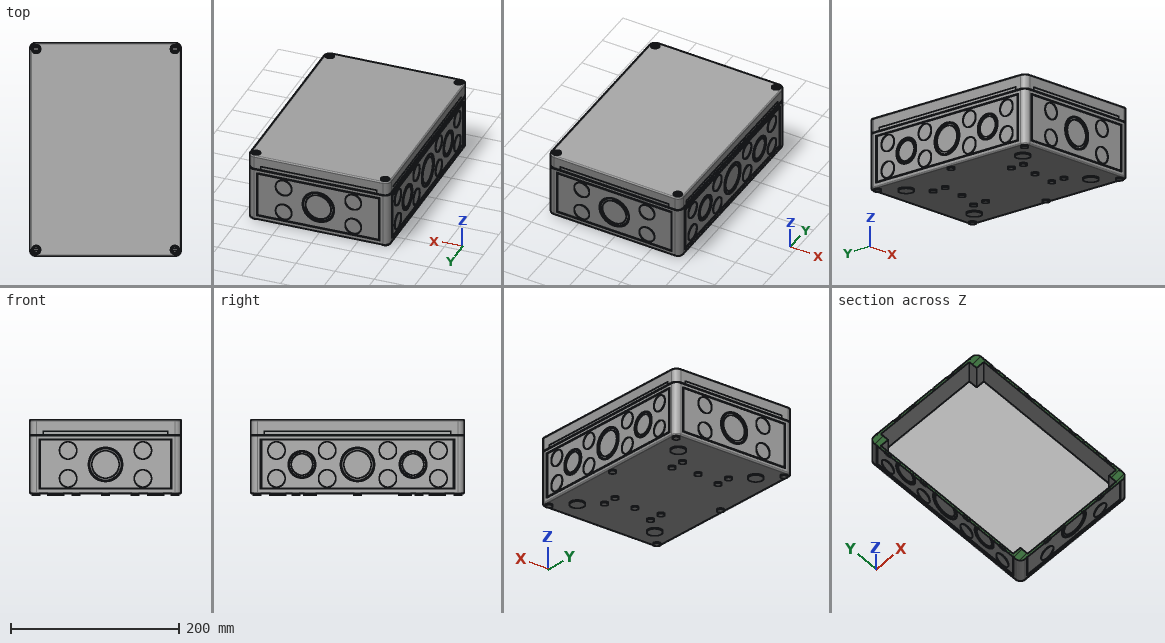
import cadquery as cq

WIDTH = 180.0
LENGTH = 254.0
HEIGHT = 89.7
CORNER_RADIUS = 7.5
FOOT_HEIGHT = 1.8
SEAM_Z = 71.6
BOTTOM_FILLET = 1.8
LID_FILLET = 1.5

WALL = 3.8
LID_TOP_THICKNESS = 6.4
CORNER_POST = 16.0
RIM_WALL = 0.97
RIM_REBATE_HEIGHT = 4.3

SEAM_GROOVE_HEIGHT = 0.8
SEAM_GROOVE_DEPTH = 0.5

FRAME_DEPTH = 0.5
FRAME_LEVEL_WIDTH = 0.8
FRAME_END_WIDTH_FRONT = 1.0
FRAME_END_WIDTH_SIDE = 1.8
PANEL_BOTTOM_Z = 7.5
PANEL_TOP_Z = 66.3
PANEL_WIDTH_FRONT = 157.0
PANEL_WIDTH_SIDE = 231.1

KNOCKOUT_DIAMETER = 20.5
KNOCKOUT_DEPTH = 0.8
KNOCKOUT_LOWER_Z = 19.8
KNOCKOUT_UPPER_Z = 53.0
RING_Z = (KNOCKOUT_LOWER_Z + KNOCKOUT_UPPER_Z) / 2
RING_STEP_DEPTH = 0.3
RING_DEPTH = 0.5
FRONT_KNOCKOUT_X = 44.5
SIDE_KNOCKOUT_Y = (36.0, 96.3)
SIDE_RING_Y = 66.0
LARGE_RING = (40.6, 37.8, 32.5)
MEDIUM_RING = (32.5, 30.0, 25.5)

LARGE_FOOT_DIAMETER = 19.0
SMALL_FOOT_DIAMETER = 9.0
LARGE_FOOT_X = 59.5
LARGE_FOOT_Y = 94.7
OUTER_FOOT_X = 82.8
CORNER_FOOT_Y = 119.5
MIDDLE_FOOT_X = 35.3
MIDDLE_FOOT_Y = (53.5, 73.2)
CENTRE_FOOT_Y = 59.5

SCREW_X = WIDTH / 2 - CORNER_RADIUS
SCREW_Y = LENGTH / 2 - CORNER_RADIUS
HEAD_DIAMETER = 10.5
HEAD_HEIGHT = 3.8
HEAD_RECESS_DIAMETER = 7.0
HEAD_RECESS_DEPTH = 0.8
SLOT_LENGTH = 6.4
SLOT_WIDTH = 2.5
SLOT_DEPTH = 1.5
SHANK_DIAMETER = 5.0
SHANK_DEPTH_IN_HOUSING = 25.5
SCREW_POINTS = [(x, y) for x in (-SCREW_X, SCREW_X) for y in (-SCREW_Y, SCREW_Y)]
HEAD_SEAT_Z = HEIGHT - HEAD_HEIGHT
SHANK_END_Z = SEAM_Z - SHANK_DEPTH_IN_HOUSING


def mirrored(x, y):
    """The point and its mirror images about both centre planes."""
    return sorted({(i * x, j * y) for i in (-1, 1) for j in (-1, 1)})


def block(bottom_z, top_z, inset=0):
    """Block with the outer plan of the enclosure, or that plan moved inwards, and rounded corners."""
    plane = cq.Workplane("XY").workplane(offset=bottom_z)
    body = plane.rect(WIDTH - 2 * inset, LENGTH - 2 * inset).extrude(top_z - bottom_z)
    return body.edges("|Z").fillet(CORNER_RADIUS - inset)


def cavity(bottom_z, top_z, wall):
    """Space inside the walls, leaving a square post in each corner."""
    plane = cq.Workplane("XY").workplane(offset=bottom_z)
    height = top_z - bottom_z
    lengthwise = plane.rect(WIDTH - 2 * CORNER_POST, LENGTH - 2 * wall).extrude(height)
    crosswise = plane.rect(WIDTH - 2 * wall, LENGTH - 2 * CORNER_POST).extrude(height)
    return lengthwise.union(crosswise)


def screw_blanks():
    """Screws without their drive, also used as the holes that they fill."""
    seats = cq.Workplane("XY").workplane(offset=HEAD_SEAT_Z).pushPoints(SCREW_POINTS)
    heads = seats.circle(HEAD_DIAMETER / 2).extrude(HEAD_HEIGHT)
    shank_ends = cq.Workplane("XY").workplane(offset=SHANK_END_Z).pushPoints(SCREW_POINTS)
    return heads.union(shank_ends.circle(SHANK_DIAMETER / 2).extrude(HEAD_SEAT_Z - SHANK_END_Z))


def wall_plane(normal, distance):
    """Plane at a distance from the centre axis, local x level, local y up, facing outwards."""
    nx, ny = normal
    return cq.Plane(origin=(nx * distance, ny * distance, 0), xDir=(-ny, nx, 0), normal=(nx, ny, 0))


def panel_frame(normal, face, width, end_width):
    """Rectangular frame groove around a panel."""
    height = PANEL_TOP_Z - PANEL_BOTTOM_Z
    middle_z = (PANEL_TOP_Z + PANEL_BOTTOM_Z) / 2
    plane = cq.Workplane(wall_plane(normal, face)).center(0, middle_z)
    outer = plane.rect(width, height).extrude(-FRAME_DEPTH)
    panel = plane.rect(width - 2 * end_width, height - 2 * FRAME_LEVEL_WIDTH).extrude(-FRAME_DEPTH)
    return outer.cut(panel)


def knockout(normal, face, across, z):
    """Shallow round recess in a panel."""
    plane = cq.Workplane(wall_plane(normal, face)).center(across, z)
    return plane.circle(KNOCKOUT_DIAMETER / 2).extrude(-KNOCKOUT_DEPTH)


def ring_groove(normal, face, across, diameters):
    """Stepped groove around a disc that stays level with the panel."""
    step, groove, disc = (diameter / 2 for diameter in diameters)
    plane = cq.Workplane(wall_plane(normal, face)).center(across, RING_Z)
    shallow = plane.circle(step).circle(disc).extrude(-RING_STEP_DEPTH)
    deep = plane.circle(groove).circle(disc).extrude(-RING_DEPTH)
    return shallow.union(deep)


def cut_front_panel(body, direction):
    """Panel in the -Y or +Y wall: four knockouts around one ring."""
    normal = (0, direction)
    face = LENGTH / 2
    body = body.cut(panel_frame(normal, face, PANEL_WIDTH_FRONT, FRAME_END_WIDTH_FRONT))
    body = body.cut(ring_groove(normal, face, 0, LARGE_RING))
    for x in (-FRONT_KNOCKOUT_X, FRONT_KNOCKOUT_X):
        for z in (KNOCKOUT_LOWER_Z, KNOCKOUT_UPPER_Z):
            body = body.cut(knockout(normal, face, x, z))
    return body


def cut_side_panel(body, direction):
    """Panel in the -X or +X wall: eight knockouts and three rings."""
    normal = (direction, 0)
    face = WIDTH / 2
    body = body.cut(panel_frame(normal, face, PANEL_WIDTH_SIDE, FRAME_END_WIDTH_SIDE))
    body = body.cut(ring_groove(normal, face, 0, LARGE_RING))
    for side in (-1, 1):
        body = body.cut(ring_groove(normal, face, side * SIDE_RING_Y, MEDIUM_RING))
        for y in SIDE_KNOCKOUT_Y:
            for z in (KNOCKOUT_LOWER_Z, KNOCKOUT_UPPER_Z):
                body = body.cut(knockout(normal, face, side * y, z))
    return body


def add_feet(body):
    """Round feet under the bottom."""
    small_points = mirrored(OUTER_FOOT_X, CORNER_FOOT_Y)
    small_points += mirrored(OUTER_FOOT_X, 0)
    small_points += mirrored(0, CENTRE_FOOT_Y)
    for y in MIDDLE_FOOT_Y:
        small_points += mirrored(MIDDLE_FOOT_X, y)
    large_points = mirrored(LARGE_FOOT_X, LARGE_FOOT_Y)
    height = FOOT_HEIGHT + BOTTOM_FILLET
    for diameter, points in ((SMALL_FOOT_DIAMETER, small_points), (LARGE_FOOT_DIAMETER, large_points)):
        body = body.union(cq.Workplane("XY").pushPoints(points).circle(diameter / 2).extrude(height))
    return body


def seam_groove():
    """Narrow ring around the rim of the housing."""
    bottom_z = SEAM_Z - SEAM_GROOVE_HEIGHT
    core = block(bottom_z, SEAM_Z, SEAM_GROOVE_DEPTH)
    return block(bottom_z, SEAM_Z).cut(core)


def make_housing():
    """Open box with feet, side panels and corner posts for the screws."""
    body = block(FOOT_HEIGHT, SEAM_Z).faces("<Z").edges().fillet(BOTTOM_FILLET)
    body = add_feet(body)
    body = body.cut(cavity(FOOT_HEIGHT + WALL, SEAM_Z, WALL))
    for direction in (-1, 1):
        body = cut_front_panel(body, direction)
        body = cut_side_panel(body, direction)
    return body.cut(seam_groove()).cut(screw_blanks())


def make_lid():
    """Cover with a rounded top edge, a thin rim and counterbored screw holes."""
    body = block(SEAM_Z, HEIGHT).faces(">Z").edges().fillet(LID_FILLET)
    body = body.cut(cavity(SEAM_Z, HEIGHT - LID_TOP_THICKNESS, WALL))
    body = body.cut(cavity(SEAM_Z, SEAM_Z + RIM_REBATE_HEIGHT, RIM_WALL))
    return body.cut(screw_blanks())


def make_screws():
    """Four screws, flush with the lid, each with a round recess and a deeper slot across it."""
    recess_floor = cq.Workplane("XY").workplane(offset=HEIGHT - HEAD_RECESS_DEPTH).pushPoints(SCREW_POINTS)
    recesses = recess_floor.circle(HEAD_RECESS_DIAMETER / 2).extrude(HEAD_RECESS_DEPTH)
    slot_floor = cq.Workplane("XY").workplane(offset=HEIGHT - SLOT_DEPTH).pushPoints(SCREW_POINTS)
    slots = slot_floor.rect(SLOT_LENGTH, SLOT_WIDTH).extrude(SLOT_DEPTH)
    return screw_blanks().cut(recesses).cut(slots)


housing = make_housing()
lid = make_lid()
screws = make_screws()

result = cq.Compound.makeCompound([housing.val(), lid.val(), *screws.solids().vals()])